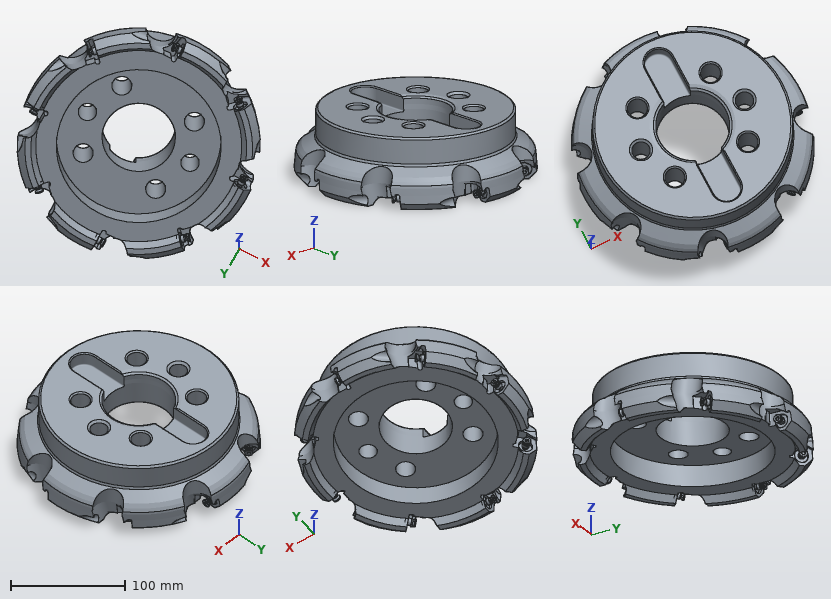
import cadquery as cq
import math

TOTAL_HEIGHT = 61.71
HUB_RADIUS = 87.5
HUB_CHAMFER = 1.8
HUB_BASE_Z = 37.9
RIM_MAX_RADIUS = 106.36
RIM_MAX_Z = 7.0
RIM_CHAMFER = 6.8
SHOULDER_POINTS = [
    (105.7, 14.3),
    (105.2, 20.9),
    (104.6, 23.3),
    (102.8, 25.9),
    (99.7, 29.1),
    (88.5, 35.6),
]

BORE_RADIUS = 32.0
BORE_MOUTH_RADIUS = 37.6
BORE_STEP_RADIUS = 34.4
BORE_MOUTH_DEPTH = 0.8
BORE_LEAD_DEPTH = 2.2
BORE_TAPER_TOP = 7.7
BORE_TAPER_BOTTOM = 12.1
BORE_RELIEF = 0.3
RECESS_RADIUS = 72.0
RECESS_CEILING_Z = 26.7
RIM_RECESS_Z = 6.3
RIM_RECESS_RADIUS = 90.0
RIM_LAND_INNER_RADIUS = 94.3

SLOT_WIDTH = 25.7
SLOT_END_RADIUS = 77.5
SLOT_DEPTH = 14.0
SLOT_CHAMFER = 1.1
SLOT_FLOOR_FILLET = 1.2

BOLT_CIRCLE_RADIUS = 50.8
BOLT_HOLE_DIAMETER = 17.4
BOLT_HOLE_MOUTH_DIAMETER = 20.2
BOLT_ANGLES = (45, 135, 225, 315)
JACK_HOLE_DIAMETER = 16.0
JACK_ANGLES = (0, 180)

TOOTH_COUNT = 8
GULLET_RADIUS = 13.3
GULLET_BEND = (98.8, -31.0, 19.0)
GULLET_LOWER_LEAN = 15.0
GULLET_UPPER_LEAN = 6.0
GULLET_LENGTH = 45.0

SEAT_CENTRE = (95.7, -9.6, 9.1)
SEAT_TILT = 5.0
SEAT_WALL_SLOPE = 28.0
SEAT_INNER_DISTANCE = 9.5
SEAT_WALL_DISTANCE = 8.2
SEAT_OPEN_LENGTH = 30.0
SEAT_POCKET_HEIGHT = 12.0
SEAT_RELIEF_RADIUS = 2.0
SEAT_BORE_RADIUS = 6.2
SEAT_BORE_DEPTH = 2.5
ACCESS_RADIUS = 5.3
ACCESS_LENGTH = 60.0

SCREW_HEAD_RADIUS = 3.6
SCREW_HEAD_TOP = 7.3
SCREW_HEAD_RIM = 1.2
SCREW_CONE_BOTTOM = 4.4
SCREW_NECK_RADIUS = 2.2
SCREW_COLLAR_RADIUS = 3.2
SCREW_COLLAR_TOP = 3.2
SCREW_THREAD_LENGTH = 10.0
SCREW_SOCKET_DIAMETER = 3.6
SCREW_SOCKET_DEPTH = 1.8

SCREW_TIP = -SEAT_BORE_DEPTH - SCREW_THREAD_LENGTH


def turned_body():
    """Revolved body: hub, rim, bore and the hollow underside."""
    outer = [
        (RIM_MAX_RADIUS - RIM_CHAMFER, 0),
        (RIM_MAX_RADIUS, RIM_MAX_Z),
        *SHOULDER_POINTS,
        (HUB_RADIUS, HUB_BASE_Z),
        (HUB_RADIUS, TOTAL_HEIGHT - HUB_CHAMFER),
        (HUB_RADIUS - HUB_CHAMFER, TOTAL_HEIGHT),
    ]
    relief_radius = BORE_RADIUS + BORE_RELIEF
    bore = [
        (BORE_MOUTH_RADIUS, TOTAL_HEIGHT),
        (BORE_STEP_RADIUS, TOTAL_HEIGHT - BORE_MOUTH_DEPTH),
        (relief_radius, TOTAL_HEIGHT - BORE_LEAD_DEPTH),
        (relief_radius, TOTAL_HEIGHT - BORE_TAPER_TOP),
        (BORE_RADIUS, TOTAL_HEIGHT - BORE_TAPER_BOTTOM),
        (BORE_RADIUS, RECESS_CEILING_Z),
    ]
    underside = [
        (RECESS_RADIUS, RECESS_CEILING_Z),
        (RECESS_RADIUS, RIM_RECESS_Z),
        (RIM_RECESS_RADIUS, RIM_RECESS_Z),
        (RIM_LAND_INNER_RADIUS, 0),
    ]
    outline = outer + bore + underside
    return cq.Workplane("XZ").polyline(outline).close().revolve(360, (0, 0), (0, 1))


def drive_slot(side):
    """Round-ended slot with a chamfered mouth, running out along side * Y."""
    end_centre = SLOT_END_RADIUS - SLOT_WIDTH / 2
    face = cq.Workplane("XY", origin=(0, side * end_centre / 2, TOTAL_HEIGHT))
    slot = face.slot2D(end_centre + SLOT_WIDTH, SLOT_WIDTH, 90).extrude(-SLOT_DEPTH)
    slot = slot.faces("<Z").edges().fillet(SLOT_FLOOR_FILLET)
    mouth_width = SLOT_WIDTH + 2 * SLOT_CHAMFER
    mouth = face.slot2D(end_centre + mouth_width, mouth_width, 90).extrude(-SLOT_CHAMFER, taper=45)
    return slot.union(mouth)


def mounting_hole(angle, diameter):
    """Through hole with a chamfered mouth on the hub face."""
    x = BOLT_CIRCLE_RADIUS * math.cos(math.radians(angle))
    y = BOLT_CIRCLE_RADIUS * math.sin(math.radians(angle))
    face = cq.Workplane("XY", origin=(x, y, TOTAL_HEIGHT))
    hole = face.circle(diameter / 2).extrude(-TOTAL_HEIGHT)
    mouth_depth = (BOLT_HOLE_MOUTH_DIAMETER - diameter) / 2
    mouth = face.circle(BOLT_HOLE_MOUTH_DIAMETER / 2).extrude(-mouth_depth, taper=45)
    return hole.union(mouth)


def seat_workplane():
    """Plane of the insert seat: local x is radial, local y is up, normal leaves the seat."""
    tilt = math.radians(SEAT_TILT)
    normal = (0, -math.cos(tilt), -math.sin(tilt))
    return cq.Workplane(cq.Plane(SEAT_CENTRE, xDir=(1, 0, 0), normal=normal))


def flute_end(lean, vertical):
    """End point of the flute above (vertical = 1) or below (-1) its bend, leaning toward +Y."""
    x, y, z = GULLET_BEND
    lean = math.radians(lean)
    return (x, y + GULLET_LENGTH * math.sin(lean), z + vertical * GULLET_LENGTH * math.cos(lean))


def gullet():
    """Chip gullet: a round flute with a bend, leaning into the tooth above and below it."""
    bottom = flute_end(GULLET_LOWER_LEAN, -1)
    top = flute_end(GULLET_UPPER_LEAN, 1)
    path = cq.Workplane("XY").polyline([bottom, GULLET_BEND, top])
    direction = cq.Vector(*GULLET_BEND) - cq.Vector(*bottom)
    start = cq.Plane(bottom, xDir=(1, 0, 0), normal=direction)
    return cq.Workplane(start).circle(GULLET_RADIUS).sweep(path, transition="right")


def seat_pocket():
    """Insert pocket: inner and upper walls with relief grooves along the seat."""
    slope = math.radians(SEAT_WALL_SLOPE)
    wall_height = SEAT_WALL_DISTANCE / math.cos(slope)
    inner = -SEAT_INNER_DISTANCE
    outline = [
        (inner, wall_height),
        (0, wall_height),
        (SEAT_OPEN_LENGTH, wall_height - SEAT_OPEN_LENGTH * math.tan(slope)),
        (SEAT_OPEN_LENGTH, -SEAT_OPEN_LENGTH),
        (inner, -SEAT_OPEN_LENGTH),
    ]
    seat = seat_workplane()
    pocket = seat.polyline(outline).close().extrude(SEAT_POCKET_HEIGHT)
    upper_groove = (
        seat.transformed(offset=(0, wall_height, SEAT_RELIEF_RADIUS))
        .transformed(rotate=(0, 0, -SEAT_WALL_SLOPE))
        .transformed(rotate=(0, 90, 0))
        .circle(SEAT_RELIEF_RADIUS)
        .extrude(SEAT_OPEN_LENGTH)
    )
    inner_groove = (
        seat.transformed(offset=(inner, wall_height, SEAT_RELIEF_RADIUS), rotate=(90, 0, 0))
        .circle(SEAT_RELIEF_RADIUS)
        .extrude(SEAT_OPEN_LENGTH)
    )
    return pocket.union(upper_groove).union(inner_groove)


def screw_bores():
    """Seat bore, threaded hole and the driver clearance groove, all on the screw axis."""
    seat = seat_workplane()
    seat_bore = seat.circle(SEAT_BORE_RADIUS).extrude(-SEAT_BORE_DEPTH)
    thread = seat.circle(SCREW_NECK_RADIUS).extrude(SCREW_TIP)
    access = seat.circle(ACCESS_RADIUS).extrude(ACCESS_LENGTH)
    return seat_bore.union(thread).union(access)


def at_tooth(shape, tooth):
    """Copy of a shape made for the first tooth, turned to another tooth."""
    return shape.rotate((0, 0, 0), (0, 0, 1), tooth * 360 / TOOTH_COUNT)


def cutter_body():
    body = turned_body()
    for side in (1, -1):
        body = body.cut(drive_slot(side))
    for angle in BOLT_ANGLES:
        body = body.cut(mounting_hole(angle, BOLT_HOLE_DIAMETER))
    for angle in JACK_ANGLES:
        body = body.cut(mounting_hole(angle, JACK_HOLE_DIAMETER))
    tooth_cut = gullet().union(seat_pocket()).union(screw_bores())
    for tooth in range(TOOTH_COUNT):
        body = body.cut(at_tooth(tooth_cut, tooth))
    return body


def clamping_screw():
    """Countersunk-head screw with a collar and a hexagon socket, on the X-axis tooth."""
    seat = seat_workplane()
    profile = [
        (0, SCREW_TIP),
        (SCREW_NECK_RADIUS, SCREW_TIP),
        (SCREW_NECK_RADIUS, 0),
        (SCREW_COLLAR_RADIUS, 0),
        (SCREW_COLLAR_RADIUS, SCREW_COLLAR_TOP),
        (SCREW_NECK_RADIUS, SCREW_COLLAR_TOP),
        (SCREW_NECK_RADIUS, SCREW_CONE_BOTTOM),
        (SCREW_HEAD_RADIUS, SCREW_HEAD_TOP - SCREW_HEAD_RIM),
        (SCREW_HEAD_RADIUS, SCREW_HEAD_TOP),
        (0, SCREW_HEAD_TOP),
    ]
    axis = seat.plane.zDir
    profile_plane = cq.Plane(SEAT_CENTRE, xDir=(1, 0, 0), normal=cq.Vector(1, 0, 0).cross(axis))
    screw = cq.Workplane(profile_plane).polyline(profile).close().revolve(360, (0, 0), (0, 1))
    socket = (
        seat.workplane(offset=SCREW_HEAD_TOP)
        .polygon(6, SCREW_SOCKET_DIAMETER)
        .extrude(-SCREW_SOCKET_DEPTH)
    )
    return screw.cut(socket)


body = cutter_body()
first_screw = clamping_screw()
screws = [at_tooth(first_screw, tooth) for tooth in range(TOOTH_COUNT)]

result = cq.Compound.makeCompound([body.val(), *[screw.val() for screw in screws]])